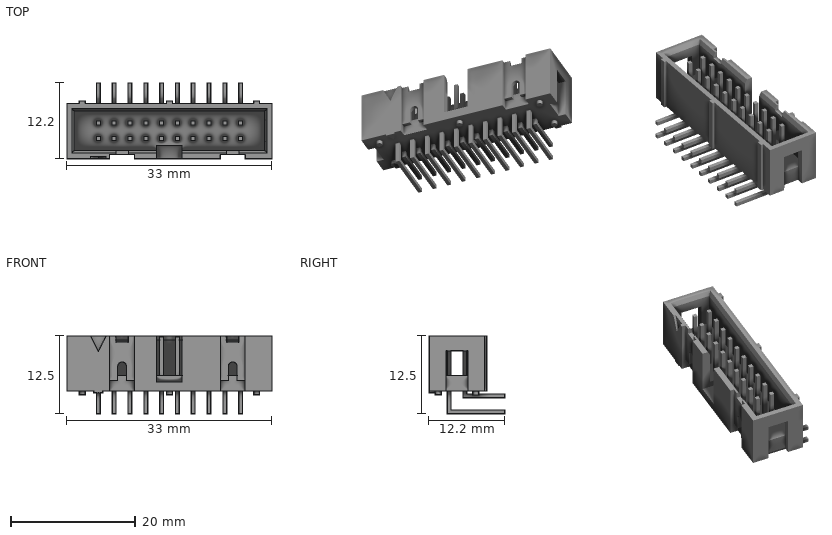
import cadquery as cq


LENGTH = 33.0
DEPTH = 8.9
HEIGHT = 8.9
END_WALL = 1.2
CAVITY_DEPTH = 6.3
FLOOR_TOP = 2.55
RIM_CHAMFER_WIDTH = 0.4
RIM_CHAMFER_HEIGHT = 0.7
FRONT = -DEPTH / 2
BACK = DEPTH / 2
CENTRE_Y = 0.05
FRONT_WALL = DEPTH / 2 + CENTRE_Y - CAVITY_DEPTH / 2

PITCH = 2.54
COLUMNS = 10
PIN_SIZE = 0.64
PIN_TOP = 8.68
TAIL_LENGTH = 3.3
FRONT_TAIL_BOTTOM = -3.62
FIRST_PIN_X = -(COLUMNS - 1) / 2 * PITCH

WINDOW_WIDTH = 3.5
WINDOW_TOP = 6.5

KEY_WIDTH = 4.1
KEY_BOTTOM = 1.5
KEY_REACH = 2.1

LATCH_CENTRES = (-3 * PITCH, 4 * PITCH)
LATCH_WIDTH = 4.0
LATCH_DEPTH = 0.65
LATCH_PANEL_BOTTOM = 1.7
LATCH_NOTCH_WIDTH = 2.0
LATCH_NOTCH_DEPTH = 1.0
LATCH_SLOT_WIDTH = 1.4
LATCH_SLOT_TOP = 4.7

MARK_WIDTH = 2.5
MARK_HEIGHT = 2.5
MARK_DEPTH = 0.35
FOOT_WIDTH = 1.5
FOOT_REACH = 1.5
FOOT_HEIGHT = 0.25

PEG_COLUMNS = (-14.0, 0.0, 14.0)
PEG_DIAMETER = 1.0
PEG_HEIGHT = 0.6
PEG_ROW_OFFSET = 3.0
RIB_WIDTH = 1.0
RIB_DEPTH = 0.4


def block(x_range, y_range, z_range):
    """Box spanning the given (low, high) pairs."""
    (x0, x1), (y0, y1), (z0, z1) = x_range, y_range, z_range
    return cq.Workplane("XY").box(x1 - x0, y1 - y0, z1 - z0, centered=False).translate((x0, y0, z0))


def span(centre, width):
    return (centre - width / 2, centre + width / 2)


def shroud():
    """Open-topped box with a sloped lead-in around the inner rim."""
    cavity_length = LENGTH - 2 * END_WALL
    outer = block(span(0, LENGTH), span(0, DEPTH), (0, HEIGHT))
    cavity = block(span(0, cavity_length), span(CENTRE_Y, CAVITY_DEPTH), (FLOOR_TOP, HEIGHT))
    lead_in = (
        cq.Workplane("XY", origin=(0, CENTRE_Y, HEIGHT - RIM_CHAMFER_HEIGHT))
        .rect(cavity_length, CAVITY_DEPTH)
        .workplane(offset=RIM_CHAMFER_HEIGHT)
        .rect(cavity_length + 2 * RIM_CHAMFER_WIDTH, CAVITY_DEPTH + 2 * RIM_CHAMFER_WIDTH)
        .loft(ruled=True)
    )
    return outer.cut(cavity).cut(lead_in)


def end_window(side):
    """Opening through one end wall, from the underside up to the window top."""
    centre = side * (LENGTH - END_WALL) / 2
    return block(span(centre, END_WALL), span(CENTRE_Y, WINDOW_WIDTH), (0, WINDOW_TOP))


def key_slot():
    return block(span(0, KEY_WIDTH), (FRONT, FRONT + KEY_REACH), (KEY_BOTTOM, HEIGHT))


def latch_recess(centre):
    """Shallow recess with a top notch, an arched slot and an undercut below the panel."""
    wall = (FRONT, FRONT + FRONT_WALL)
    arch_radius = LATCH_SLOT_WIDTH / 2
    arch_centre_z = LATCH_SLOT_TOP - arch_radius
    recess = block(span(centre, LATCH_WIDTH), (FRONT, FRONT + LATCH_DEPTH), (0, HEIGHT))
    undercut = block(span(centre, LATCH_WIDTH), wall, (0, LATCH_PANEL_BOTTOM))
    notch = block(span(centre, LATCH_NOTCH_WIDTH), wall, (HEIGHT - LATCH_NOTCH_DEPTH, HEIGHT))
    slot = block(span(centre, LATCH_SLOT_WIDTH), wall, (0, arch_centre_z))
    arch = (
        cq.Workplane("XZ", origin=(centre, FRONT, arch_centre_z))
        .circle(arch_radius)
        .extrude(-FRONT_WALL)
    )
    return recess.union(undercut).union(notch).union(slot).union(arch)


def pin_one_triangle():
    return (
        cq.Workplane("XZ", origin=(FIRST_PIN_X, FRONT, HEIGHT))
        .polyline([(-MARK_WIDTH / 2, 0), (MARK_WIDTH / 2, 0), (0, -MARK_HEIGHT)])
        .close()
        .extrude(-MARK_DEPTH)
    )


def pin_one_foot():
    """Triangular foot under the housing with its base flush with the front wall."""
    return (
        cq.Workplane("XY", origin=(FIRST_PIN_X, FRONT, 0))
        .polyline([(-FOOT_WIDTH / 2, 0), (FOOT_WIDTH / 2, 0), (0, FOOT_REACH)])
        .close()
        .extrude(-FOOT_HEIGHT)
    )


def pegs():
    points = [(x, CENTRE_Y + side * PEG_ROW_OFFSET) for x in PEG_COLUMNS for side in (-1, 1)]
    return (
        cq.Workplane("XY", origin=(0, 0, -PEG_HEIGHT))
        .pushPoints(points)
        .circle(PEG_DIAMETER / 2)
        .extrude(PEG_HEIGHT)
    )


def back_rib(x):
    return block(span(x, RIB_WIDTH), (BACK, BACK + RIB_DEPTH), (0, HEIGHT))


def pin(x, y, tail_bottom):
    """L-shaped square pin: upright contact and a tail running out behind the housing."""
    front_face = y - PIN_SIZE / 2
    upright = block(span(x, PIN_SIZE), span(y, PIN_SIZE), (tail_bottom, PIN_TOP))
    tail = block(
        span(x, PIN_SIZE), (front_face, BACK + TAIL_LENGTH), (tail_bottom, tail_bottom + PIN_SIZE)
    )
    return upright.union(tail)


result = shroud()
for end in (-1, 1):
    result = result.cut(end_window(end))
result = result.cut(key_slot())
for latch_x in LATCH_CENTRES:
    result = result.cut(latch_recess(latch_x))
result = result.cut(pin_one_triangle())
result = result.union(pin_one_foot())
result = result.union(pegs())
for rib_x in PEG_COLUMNS:
    result = result.union(back_rib(rib_x))
for column in range(COLUMNS):
    pin_x = FIRST_PIN_X + column * PITCH
    result = result.union(pin(pin_x, CENTRE_Y - PITCH / 2, FRONT_TAIL_BOTTOM))
    result = result.union(pin(pin_x, CENTRE_Y + PITCH / 2, FRONT_TAIL_BOTTOM + PITCH))